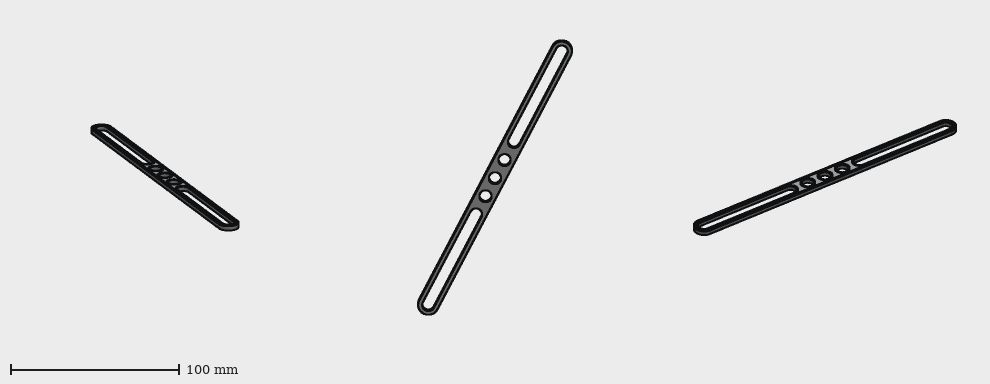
import cadquery as cq

length = 187.5
module_count = 15
thickness = 3.2
hole_diameter = 7.0
rim_diameter = 9.2
rail_width = 1.1
recess_depth = 0.28
edge_chamfer = 0.34

pitch = length / module_count
width = pitch
slot_inner_module = 2
slot_outer_module = (module_count - 1) // 2

hole_centres = [(module * pitch, 0) for module in (-1, 0, 1)]
slot_span = (slot_outer_module - slot_inner_module) * pitch
slot_offset = (slot_outer_module + slot_inner_module) * pitch / 2
slot_centres = [(-slot_offset, 0), (slot_offset, 0)]


def openings(diameter):
    """Full-height cylinders and round-ended bars at the holes and slots."""
    base = cq.Workplane("XY")
    holes = base.pushPoints(hole_centres).circle(diameter / 2).extrude(thickness)
    slots = base.pushPoints(slot_centres).slot2D(slot_span + diameter, diameter).extrude(thickness)
    return holes.union(slots)


def top_recess():
    """Shallow recess that leaves an outer rail and a rim around each opening."""
    floor = cq.Workplane("XY").workplane(offset=thickness - recess_depth)
    inside_rail = floor.slot2D(length - 2 * rail_width, width - 2 * rail_width).extrude(recess_depth)
    return inside_rail.cut(openings(rim_diameter))


beam = cq.Workplane("XY").slot2D(length, width).extrude(thickness)
beam = beam.cut(openings(hole_diameter))

beam = beam.faces("<Z or >Z").edges().chamfer(edge_chamfer)

result = beam.cut(top_recess())